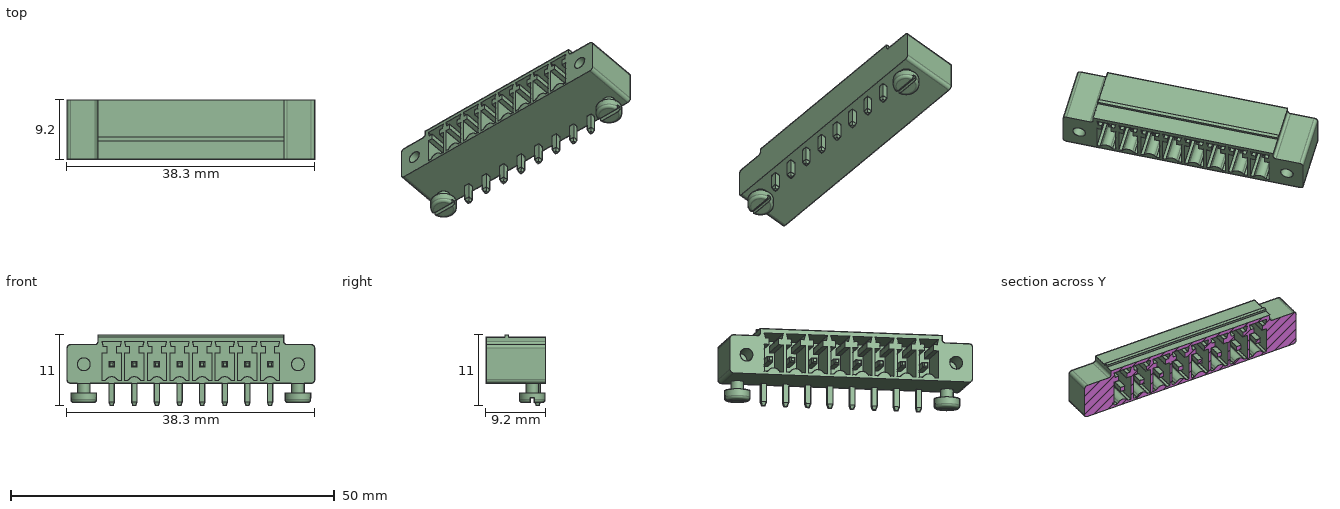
import cadquery as cq
import math


length = 38.3
depth = 9.2
ear_height = 6.0
raised_height = 7.15
raised_length = 28.72
ear_round = 0.57
step_round = 0.45
select_margin = 0.05

rib_width = 0.57
rib_height = 0.35
rib_center_y = 3.18

contact_count = 8
row_span = 24.47
pitch = row_span / (contact_count - 1)
contact_xs = [(i - (contact_count - 1) / 2) * pitch for i in range(contact_count)]

pocket_depth = 6.9
pocket_half_width = 1.5
pocket_floor_z = 0.45
shoulder_z = 4.7
neck_half_width = 0.73
neck_top_z = 5.65
key_half_width = 1.3
pocket_top_z = 6.47
hump_half_width = 1.0
hump_height = 0.57
hump_slope = math.radians(45)
slope_apex_height = hump_half_width * math.tan(hump_slope)
crown_radius = (slope_apex_height - hump_height) / (1 / math.cos(hump_slope) - 1)
crown_half_width = crown_radius * math.sin(hump_slope)
crown_start_z = pocket_floor_z + (hump_half_width - crown_half_width) * math.tan(hump_slope)

pin_width = 0.85
pin_tip_width = 0.45
pin_taper = 0.57
contact_z = 2.95
contact_tip_y = 2.3
leg_y = 7.95
leg_drop = 3.45

ear_center_x = 16.55
ear_hole_diameter = 2.0
ear_hole_depth = 4.6
screw_y = 7.12
shank_diameter = 2.0
shank_drop = 1.45
head_diameter = 4.0
head_height = 1.55
head_round = 0.45
slot_width = 0.57
slot_depth = 0.73


def front_plane():
    """Front face plane: local X = X, local Y = Z, normal toward -Y."""
    return cq.Plane(origin=(0, 0, 0), xDir=(1, 0, 0), normal=(0, -1, 0))


def extrude_back(outline, distance):
    """Extrude an outline on the front face toward +Y."""
    return outline.extrude(-distance)


def make_housing():
    half = length / 2
    step = raised_length / 2
    outline = (
        cq.Workplane(front_plane())
        .moveTo(-half, 0)
        .lineTo(half, 0)
        .lineTo(half, ear_height)
        .lineTo(step, ear_height)
        .lineTo(step, raised_height)
        .lineTo(-step, raised_height)
        .lineTo(-step, ear_height)
        .lineTo(-half, ear_height)
        .close()
    )
    body = extrude_back(outline, depth)
    body = body.edges("|Y and (<X or >X)").fillet(ear_round)
    inner_corners = cq.selectors.BoxSelector(
        (-step - select_margin, 0, ear_height - select_margin),
        (step + select_margin, depth, ear_height + select_margin),
    )
    body = body.edges("|Y").edges(inner_corners).fillet(step_round)
    rib = cq.Workplane("XY").box(raised_length, rib_width, rib_height, centered=(True, True, False))
    return body.union(rib.translate((0, rib_center_y, raised_height)))


def make_pocket(x):
    profile = (
        cq.Workplane(front_plane())
        .moveTo(-pocket_half_width, pocket_floor_z)
        .lineTo(-hump_half_width, pocket_floor_z)
        .lineTo(-crown_half_width, crown_start_z)
        .threePointArc((0, pocket_floor_z + hump_height), (crown_half_width, crown_start_z))
        .lineTo(hump_half_width, pocket_floor_z)
        .lineTo(pocket_half_width, pocket_floor_z)
        .lineTo(pocket_half_width, shoulder_z)
        .lineTo(neck_half_width, shoulder_z)
        .lineTo(neck_half_width, neck_top_z)
        .lineTo(key_half_width, neck_top_z)
        .lineTo(pocket_half_width, pocket_top_z)
        .lineTo(-pocket_half_width, pocket_top_z)
        .lineTo(-key_half_width, neck_top_z)
        .lineTo(-neck_half_width, neck_top_z)
        .lineTo(-neck_half_width, shoulder_z)
        .lineTo(-pocket_half_width, shoulder_z)
        .close()
    )
    return extrude_back(profile, pocket_depth).translate((x, 0, 0))


def make_pin(pin_length):
    """Square pin along +Z from the origin, its far end tapered."""
    straight = pin_length - pin_taper
    bar = cq.Workplane("XY").rect(pin_width, pin_width).extrude(straight)
    tip = (
        cq.Workplane("XY", origin=(0, 0, straight))
        .rect(pin_width, pin_width)
        .workplane(offset=pin_taper)
        .rect(pin_tip_width, pin_tip_width)
        .loft()
    )
    return bar.union(tip)


def make_contact(x):
    """Angled contact: a pin forward into the pocket and a leg down, meeting at the bend."""
    bend_y = leg_y + pin_width / 2
    forward = make_pin(bend_y - contact_tip_y).rotate((0, 0, 0), (1, 0, 0), 90)
    leg = make_pin(contact_z + leg_drop).rotate((0, 0, 0), (1, 0, 0), 180)
    return forward.translate((x, bend_y, contact_z)).union(leg.translate((x, leg_y, contact_z)))


def make_ear_hole(x):
    hole = cq.Workplane(front_plane()).center(x, contact_z).circle(ear_hole_diameter / 2)
    return extrude_back(hole, ear_hole_depth)


def make_screw(x):
    """Slotted screw hanging below an ear, its head pointing down."""
    shank = cq.Workplane("XY").circle(shank_diameter / 2).extrude(-shank_drop)
    head_bottom_z = -shank_drop - head_height
    head = (
        cq.Workplane("XY", origin=(0, 0, head_bottom_z))
        .circle(head_diameter / 2)
        .extrude(head_height)
        .faces("<Z")
        .edges()
        .fillet(head_round)
    )
    slot = cq.Workplane("XY", origin=(0, 0, head_bottom_z))
    slot = slot.rect(head_diameter, slot_width).extrude(slot_depth)
    return shank.union(head.cut(slot)).translate((x, screw_y, 0))


result = make_housing()
for contact_x in contact_xs:
    result = result.cut(make_pocket(contact_x)).union(make_contact(contact_x))
for ear_x in (-ear_center_x, ear_center_x):
    result = result.cut(make_ear_hole(ear_x)).union(make_screw(ear_x))